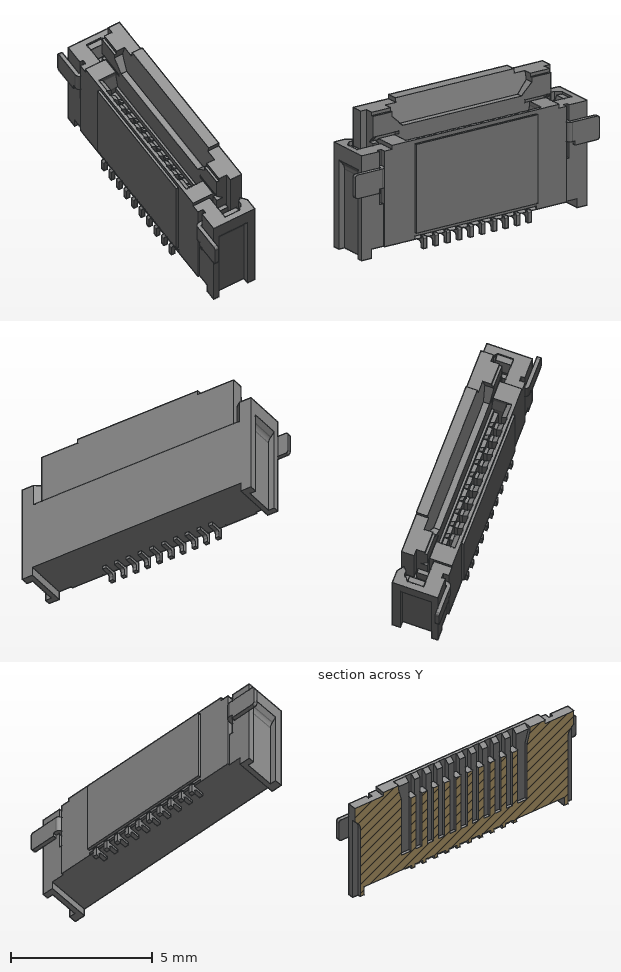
import cadquery as cq
import math

LENGTH = 10.5
DEPTH = 1.9
HEIGHT = 5.3

BODY_HALF = 4.85
BODY_TOP = 3.99
BODY_BOTTOM = 0.38
SIDE_FRONT = 0.19
LEG_BOTTOM = 0.03
LEG_INNER = 4.42
PANEL_HALF = 3.92
PANEL_FRONT = 0.12
RAISED_HALF = 3.59
RAISED_TOP = 4.14

PLATE_HALF = 2.61
PLATE_FRONT = 0.02
PLATE_BOTTOM = 0.64
NOTCH_TOP = 0.5

POCKET_FRONT = 0.42
POCKET_BACK = 1.6
POCKET_TOP = 3.4
POCKET_RAMP_END = 3.23
POCKET_ARC_END = 3.01
POCKET_DEPTH = 0.24
POCKET_ARC_ANGLE = math.radians(45)

COVER_HALF = 4.07
COVER_NARROW_HALF = 3.82
COVER_BACK = 1.84
COVER_STEP = 1.36
COVER_FRONT = 0.96
COVER_TOP = 5.15
LIP_HALF = 2.55
LIP_FRONT = 1.42
LEDGE_BACK = 1.05
LEDGE_TOP = 5.02
RAMP_HALF = 3.0
RAMP_SHOULDER = 4.84
RAMP_FLOOR = 4.41
RAMP_FLOOR_BACK = 1.19
RECESS_INNER = 2.71
RECESS_OUTER = 3.69
RECESS_TOP = 4.23

PIT_OUTER = 4.62
PIT_FRONT = 0.81
PIT_BACK = 1.6
PIT_CORNER = 0.2
PIT_CAP = 4.26
PIT_FLOOR = 3.15
REAR_GAP_HALF = 4.14
REAR_FLARE_HALF = 4.37
REAR_FLARE_FRONT = 1.72
SHELF_INNER = 4.39
SHELF_FOOT = 4.21
SHELF_FOOT_TOP = 3.46
SHELF_BACK = 1.42
SHELF_TOP = 3.91

TAB_TOP = 3.39
TAB_BOTTOM = 2.5
TAB_THICKNESS = 0.15
TAB_CORNER = 0.1
TAB_NOTCH_X = 4.2
TAB_NOTCH_TOP = 2.66
BEND_RADIUS = 0.17
GROOVE_BACK = 0.33
GROOVE_BOTTOM = 1.98
POST_BACK = 1.27
POST_TOP = 3.68

CONTACT_COUNT = 10
CONTACT_SPAN = 4.5
PITCH = CONTACT_SPAN / (CONTACT_COUNT - 1)
CONTACT_WIDTH = 0.16
CONTACT_GROOVE_WIDTH = 0.25
CONTACT_GROOVE_FRONT = 0.23
MOUTH_HALF = 2.91
SLOT_HALF = 2.77
MOUTH_FRONT = 0.25
SLOT_FRONT = 0.44
SLOT_BACK = 0.7
SLOT_BOTTOM = 1.05
MOUTH_FLOOR = 3.46
MOUTH_CHAMFER_HEIGHT = 0.15
GUIDE_BACK = 0.86
GUIDE_TOP = 3.25
GUIDE_BOTTOM = 3.22
TIP_TOP = 3.38
BEAM_BACK = 0.65
BEAM_TOP = 3.36
FOOT_THICKNESS = 0.15
FOOT_TOP = 0.44
ARM_BOTTOM = 0.25
ARM_REACH = 0.58
FOOT_BEND = 0.1
FOOT_CORNER = 0.06


def box(x0, x1, y0, y1, z0, z1):
    return cq.Workplane("XY").box(x1 - x0, y1 - y0, z1 - z0, centered=False).translate((x0, y0, z0))


def wide_box(half, y0, y1, z0, z1):
    return box(-half, half, y0, y1, z0, z1)


def both_ends(shape):
    """The shape together with its mirror image across the middle plane."""
    return shape.union(shape.mirror("YZ"))


def along_x(points, x0, x1):
    """A (Y, Z) outline extruded from x0 to x1."""
    return cq.Workplane("YZ").workplane(offset=x0).polyline(points).close().extrude(x1 - x0)


def along_y(points, y0, y1):
    """An (X, Z) outline extruded from y0 to y1."""
    return cq.Workplane("XZ").workplane(offset=-y1).polyline(points).close().extrude(y1 - y0)


def along_z(points, z0, z1):
    """An (X, Y) outline extruded from z0 to z1."""
    return cq.Workplane("XY").workplane(offset=z0).polyline(points).close().extrude(z1 - z0)


def arc_inset(radius):
    """Distance from each side of a square corner to the middle of the arc that rounds it."""
    return radius * (1 - math.sqrt(0.5))


def make_housing():
    housing = wide_box(BODY_HALF, SIDE_FRONT, DEPTH, BODY_BOTTOM, BODY_TOP)
    housing = housing.union(wide_box(PANEL_HALF, PANEL_FRONT, SIDE_FRONT, BODY_BOTTOM, BODY_TOP))
    leg = box(LEG_INNER, BODY_HALF, SIDE_FRONT, DEPTH, LEG_BOTTOM, BODY_BOTTOM)
    tail_drop = RAISED_TOP - BODY_TOP
    raised = along_x(
        [
            (PANEL_FRONT, BODY_TOP),
            (PANEL_FRONT, RAISED_TOP),
            (COVER_FRONT, RAISED_TOP),
            (COVER_FRONT + tail_drop, BODY_TOP),
        ],
        -RAISED_HALF,
        RAISED_HALF,
    )
    return housing.union(both_ends(leg)).union(raised)


def side_pocket():
    """Pocket in the +X end, open at the bottom, with a ramped and rounded roof."""
    floor_x = BODY_HALF - POCKET_DEPTH
    rise = POCKET_RAMP_END - POCKET_ARC_END
    radius = rise / math.sin(POCKET_ARC_ANGLE)
    ramp_x = floor_x + radius * (1 - math.cos(POCKET_ARC_ANGLE))
    mid_angle = POCKET_ARC_ANGLE / 2
    mid = (floor_x + radius * (1 - math.cos(mid_angle)), POCKET_ARC_END + radius * math.sin(mid_angle))
    return (
        cq.Workplane("XZ")
        .workplane(offset=-POCKET_BACK)
        .moveTo(floor_x, LEG_BOTTOM)
        .lineTo(floor_x, POCKET_ARC_END)
        .threePointArc(mid, (ramp_x, POCKET_RAMP_END))
        .lineTo(BODY_HALF, POCKET_TOP)
        .lineTo(BODY_HALF, LEG_BOTTOM)
        .close()
        .extrude(POCKET_BACK - POCKET_FRONT)
    )


def end_pit():
    """Pit beside the cover at the +X end, reaching back to the flared rear gap."""
    return along_z(
        [
            (RAISED_HALF, PIT_FRONT),
            (PIT_OUTER, PIT_FRONT),
            (PIT_OUTER, PIT_BACK - PIT_CORNER),
            (PIT_OUTER - PIT_CORNER, PIT_BACK),
            (PIT_CAP, PIT_BACK),
            (REAR_GAP_HALF, REAR_FLARE_FRONT),
            (RAISED_HALF, REAR_FLARE_FRONT),
        ],
        PIT_FLOOR,
        BODY_TOP,
    )


def rear_gap():
    return along_z(
        [
            (-REAR_FLARE_HALF, DEPTH),
            (-REAR_GAP_HALF, REAR_FLARE_FRONT),
            (REAR_GAP_HALF, REAR_FLARE_FRONT),
            (REAR_FLARE_HALF, DEPTH),
        ],
        PIT_FLOOR,
        BODY_TOP,
    )


def pit_shelf():
    """Shelf on the outer wall of the +X pit, sloping down toward the cover, with a full slope behind it."""
    shelf = along_y(
        [
            (SHELF_FOOT, PIT_FLOOR),
            (SHELF_FOOT, SHELF_FOOT_TOP),
            (SHELF_INNER, SHELF_TOP),
            (PIT_OUTER, SHELF_TOP),
            (PIT_OUTER, PIT_FLOOR),
        ],
        PIT_FRONT,
        SHELF_BACK,
    )
    back_slope = along_y(
        [
            (SHELF_FOOT, PIT_FLOOR),
            (SHELF_FOOT, SHELF_FOOT_TOP),
            (PIT_OUTER, SHELF_TOP),
            (PIT_OUTER, PIT_FLOOR),
        ],
        SHELF_BACK,
        PIT_BACK,
    )
    return shelf.union(back_slope)


def make_cover():
    cover = wide_box(COVER_HALF, COVER_STEP, COVER_BACK, PIT_FLOOR, COVER_TOP)
    cover = cover.union(wide_box(COVER_NARROW_HALF, LEDGE_BACK, COVER_STEP, PIT_FLOOR, COVER_TOP))
    cover = cover.union(wide_box(COVER_NARROW_HALF, COVER_FRONT, LEDGE_BACK, PIT_FLOOR, LEDGE_TOP))
    cover = cover.union(wide_box(LIP_HALF, LEDGE_BACK, COVER_BACK, COVER_TOP, HEIGHT))

    slope = along_x(
        [
            (COVER_FRONT, RAMP_FLOOR),
            (RAMP_FLOOR_BACK, RAMP_FLOOR),
            (LIP_FRONT, HEIGHT),
            (COVER_FRONT, HEIGHT),
        ],
        -RAMP_HALF,
        RAMP_HALF,
    )
    opening = along_y(
        [
            (-LIP_HALF, RAMP_FLOOR),
            (LIP_HALF, RAMP_FLOOR),
            (RAMP_HALF, RAMP_SHOULDER),
            (RAMP_HALF, HEIGHT),
            (-RAMP_HALF, HEIGHT),
            (-RAMP_HALF, RAMP_SHOULDER),
        ],
        COVER_FRONT,
        LIP_FRONT,
    )
    cover = cover.cut(slope.intersect(opening))

    recess_back = COVER_FRONT + RECESS_TOP - BODY_TOP
    recess = box(RECESS_INNER, RECESS_OUTER, COVER_FRONT, recess_back, BODY_TOP, RECESS_TOP)
    undercut = along_x(
        [
            (COVER_FRONT, RECESS_TOP),
            (recess_back, BODY_TOP),
            (COVER_FRONT, BODY_TOP),
        ],
        RECESS_OUTER,
        COVER_NARROW_HALF,
    )
    return cover.cut(both_ends(recess.union(undercut)))


def hold_down_groove():
    return box(PANEL_HALF, COVER_HALF, SIDE_FRONT, GROOVE_BACK, GROOVE_BOTTOM, BODY_TOP)


def hold_down():
    """Solder tab at the +X end, bent back into its groove, and the post standing in the pit."""
    outer = LENGTH / 2
    bend_end = PANEL_HALF + BEND_RADIUS
    diagonal = arc_inset(BEND_RADIUS)
    tab = (
        cq.Workplane("XY")
        .workplane(offset=TAB_BOTTOM)
        .moveTo(outer, 0)
        .lineTo(bend_end, 0)
        .threePointArc((PANEL_HALF + diagonal, diagonal), (PANEL_HALF, BEND_RADIUS))
        .lineTo(PANEL_HALF, GROOVE_BACK)
        .lineTo(COVER_HALF, GROOVE_BACK)
        .lineTo(COVER_HALF, TAB_THICKNESS)
        .lineTo(outer, TAB_THICKNESS)
        .close()
        .extrude(TAB_TOP - TAB_BOTTOM)
        .edges("|Y and >X")
        .fillet(TAB_CORNER)
    )
    notch = box(PANEL_HALF, TAB_NOTCH_X, 0, GROOVE_BACK, TAB_BOTTOM, TAB_NOTCH_TOP)
    post = box(PANEL_HALF, COVER_HALF, PIT_FRONT, POST_BACK, PIT_FLOOR, POST_TOP)
    return tab.cut(notch).union(post)


def contact_opening():
    """Chamfered mouth with flared ends, over a stepped guide and the narrow cable slot."""
    chamfer_bottom = RAISED_TOP - MOUTH_CHAMFER_HEIGHT
    mouth = along_x(
        [
            (MOUTH_FRONT, RAISED_TOP),
            (SLOT_FRONT, chamfer_bottom),
            (COVER_FRONT, chamfer_bottom),
            (COVER_FRONT, RAISED_TOP),
        ],
        -MOUTH_HALF,
        MOUTH_HALF,
    )
    throat = along_y(
        [
            (-MOUTH_HALF, chamfer_bottom),
            (-SLOT_HALF, MOUTH_FLOOR),
            (SLOT_HALF, MOUTH_FLOOR),
            (MOUTH_HALF, chamfer_bottom),
        ],
        SLOT_FRONT,
        COVER_FRONT,
    )
    guide = along_x(
        [
            (SLOT_FRONT, MOUTH_FLOOR),
            (SLOT_FRONT, SLOT_BOTTOM),
            (SLOT_BACK, SLOT_BOTTOM),
            (SLOT_BACK, GUIDE_BOTTOM),
            (GUIDE_BACK, GUIDE_TOP),
            (GUIDE_BACK, MOUTH_FLOOR),
        ],
        -SLOT_HALF,
        SLOT_HALF,
    )
    return mouth.union(throat).union(guide)


def contact_groove(x):
    """Groove in the front wall that leaves room above a contact beam."""
    half = CONTACT_GROOVE_WIDTH / 2
    return box(x - half, x + half, CONTACT_GROOVE_FRONT, SLOT_FRONT, BEAM_TOP, RAISED_TOP)


def contact_beam(x):
    """Beam standing in the slot against its front wall."""
    half = CONTACT_GROOVE_WIDTH / 2
    return box(x - half, x + half, CONTACT_GROOVE_FRONT, BEAM_BACK, SLOT_BOTTOM, BEAM_TOP)


def contact_tip(x):
    """Tip of a contact on the guide, falling toward the cover."""
    half = CONTACT_WIDTH / 2
    outline = [
        (SLOT_BACK, GUIDE_BOTTOM),
        (SLOT_BACK, TIP_TOP),
        (GUIDE_BACK, GUIDE_TOP),
    ]
    return along_x(outline, x - half, x + half)


def contact_foot(x):
    """Arm leaving the underside of the housing and bent down into a solder foot."""
    inner_diagonal = arc_inset(FOOT_BEND)
    outer_diagonal = arc_inset(FOOT_CORNER)
    return (
        cq.Workplane("YZ")
        .workplane(offset=x - CONTACT_WIDTH / 2)
        .lineTo(0, FOOT_TOP - FOOT_CORNER)
        .threePointArc((outer_diagonal, FOOT_TOP - outer_diagonal), (FOOT_CORNER, FOOT_TOP))
        .lineTo(ARM_REACH, FOOT_TOP)
        .lineTo(ARM_REACH, ARM_BOTTOM)
        .lineTo(FOOT_THICKNESS + FOOT_BEND, ARM_BOTTOM)
        .threePointArc(
            (FOOT_THICKNESS + inner_diagonal, ARM_BOTTOM - inner_diagonal),
            (FOOT_THICKNESS, ARM_BOTTOM - FOOT_BEND),
        )
        .lineTo(FOOT_THICKNESS, 0)
        .close()
        .extrude(CONTACT_WIDTH)
    )


plate = wide_box(PLATE_HALF, PLATE_FRONT, PANEL_FRONT, PLATE_BOTTOM, BODY_TOP)
notch_depth = NOTCH_TOP - BODY_BOTTOM
foot_notch = along_x(
    [
        (PANEL_FRONT, BODY_BOTTOM),
        (PANEL_FRONT, NOTCH_TOP),
        (PANEL_FRONT + notch_depth, NOTCH_TOP),
    ],
    -PLATE_HALF,
    PLATE_HALF,
)

result = make_housing().union(plate)
result = result.cut(foot_notch).cut(rear_gap())
result = result.cut(both_ends(side_pocket())).cut(both_ends(end_pit())).cut(both_ends(hold_down_groove()))
result = result.cut(contact_opening())
result = result.union(make_cover()).union(both_ends(pit_shelf())).union(both_ends(hold_down()))

for index in range(CONTACT_COUNT):
    contact_x = index * PITCH - CONTACT_SPAN / 2
    result = result.cut(contact_groove(contact_x))
    result = result.union(contact_beam(contact_x)).union(contact_tip(contact_x))
    result = result.union(contact_foot(contact_x))